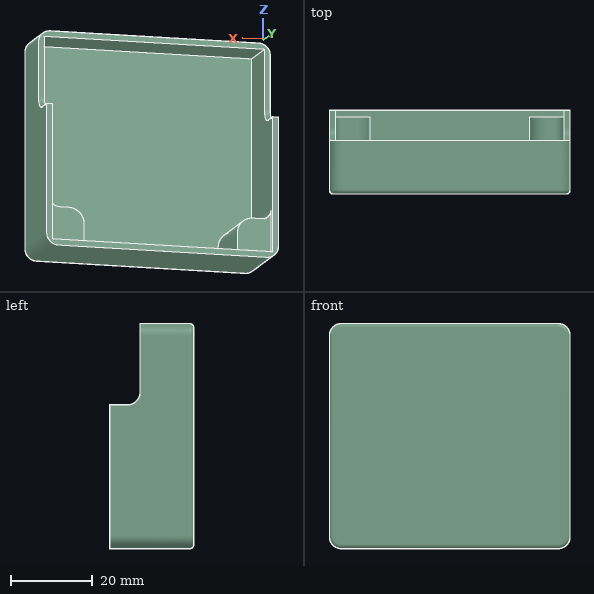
import cadquery as cq

width = 59.0
depth = 20.6
height = 55.2
corner_radius = 3.0
front_edge_radius = 1.0
wall = 1.5

notch_bottom = 35.3
notch_front = 13.2
notch_radius = 3.0

boss_size = 8.5
boss_radius = 3.9
boss_wall_fillet = 2.2
boss_recess = 1.7

inner_half_width = width / 2 - wall
overshoot = 1.0


def xz_plane(y):
    """Sketch plane at depth y, with local axes X and Z; a negative extrude runs toward the back."""
    return cq.Workplane("XZ", origin=(0, y, 0))


def make_shell():
    """Rounded box, hollow and open at the back."""
    outer = (
        xz_plane(0)
        .center(0, height / 2)
        .rect(width, height)
        .extrude(-depth)
        .edges("|Y")
        .fillet(corner_radius)
        .faces("<Y")
        .edges()
        .fillet(front_edge_radius)
    )
    cavity = (
        xz_plane(wall)
        .center(0, height / 2)
        .rect(width - 2 * wall, height - 2 * wall)
        .extrude(-(depth - wall))
    )
    return outer.cut(cavity)


def make_notch():
    """Cutter for the upper back, with its inner bottom edge rounded."""
    notch_depth = depth - notch_front + overshoot
    notch_height = height - notch_bottom + overshoot
    return (
        cq.Workplane("XY")
        .box(width + 2 * overshoot, notch_depth, notch_height, centered=(True, False, False))
        .translate((0, notch_front, notch_bottom))
        .edges("|X and <Y and <Z")
        .fillet(notch_radius)
    )


def make_left_boss():
    """Corner boss with a rounded free corner, blended into the side wall."""
    wall_x = -inner_half_width
    free_x = wall_x + boss_size
    top_z = wall + boss_size
    return (
        xz_plane(wall)
        .moveTo(wall_x, wall)
        .lineTo(free_x, wall)
        .lineTo(free_x, top_z - boss_radius)
        .radiusArc((free_x - boss_radius, top_z), -boss_radius)
        .lineTo(wall_x + boss_wall_fillet, top_z)
        .radiusArc((wall_x, top_z + boss_wall_fillet), boss_wall_fillet)
        .close()
        .extrude(-(depth - boss_recess - wall))
    )


left_boss = make_left_boss()
right_boss = left_boss.mirror("YZ")
result = make_shell().cut(make_notch()).union(left_boss).union(right_boss)